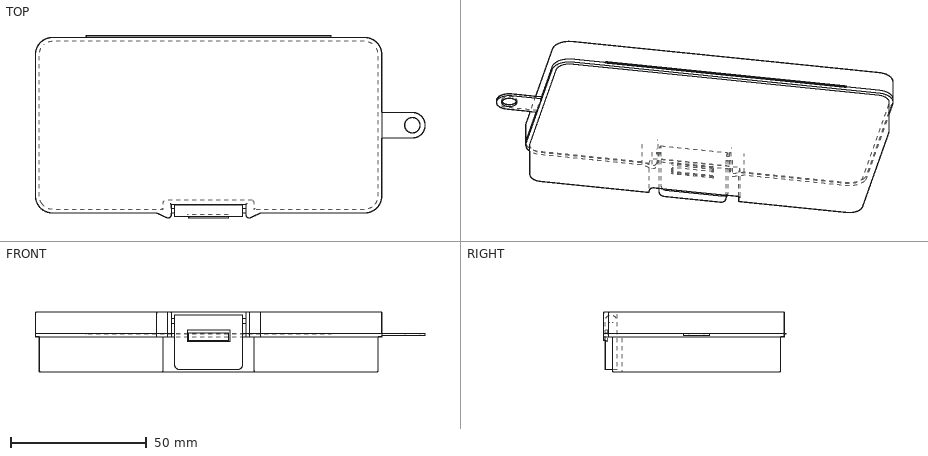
import cadquery as cq
LENGTH = 127.8
DEPTH = 64.9
HEIGHT = 22.1
CORNER_RADIUS = 6.5
EDGE_RADIUS = 0.5
FRONT_Y = -DEPTH / 2
BACK_Y = DEPTH / 2

RIM_OVERHANG = 1.5
RIM_HEIGHT = 1.3
SEAM_Z = 14.2
RIM_BOTTOM_Z = SEAM_Z - RIM_HEIGHT
TUB_RECESS_WIDTH = 33.6
TUB_RECESS_RADIUS = 1.3
TUB_RECESS_EXTRA_DEPTH = 1.7

CHEEK_REACH = 1.9
CHEEK_OUTER_X = 19.1
CHEEK_TIP_X = 15.1
NOTCH_WIDTH = 27.5

LATCH_WIDTH = 25.2
BARREL_RADIUS = 2.2
LATCH_BOTTOM_Z = 0.9
LATCH_CORNER_RADIUS = 2.0
BARREL_Z = 18.8
PIN_DIAMETER = 1.7
LATCH_THICKNESS = 2 * BARREL_RADIUS
GRIP_PROTRUSION = 0.6
LATCH_FRONT_Y = FRONT_Y - CHEEK_REACH + GRIP_PROTRUSION
BARREL_Y = LATCH_FRONT_Y + BARREL_RADIUS
LATCH_BACK_Y = LATCH_FRONT_Y + LATCH_THICKNESS
LATCH_CLEARANCE = 0.1
NOTCH_BACK_Y = LATCH_BACK_Y + LATCH_CLEARANCE

POCKET_WIDTH = 15.7
POCKET_HEIGHT = 4.3
POCKET_DEPTH = 0.9
POCKET_BOTTOM_Z = 11.2
GRIP_GAP = 0.5
GRIP_WIDTH = POCKET_WIDTH - 2 * GRIP_GAP
GRIP_HEIGHT = 2.7

TAB_WIDTH = 9.5
TAB_THICKNESS = 0.9
TAB_HOLE_DIAMETER = 5.6
TAB_END_X = LENGTH / 2 + 16.0

HINGE_LENGTH = 90.3
HINGE_PROTRUSION = 0.6
HINGE_HEIGHT = 0.3


def block(x_range, y_range, z_range):
    """Axis-aligned block between the given (low, high) limits."""
    sizes = [high - low for low, high in (x_range, y_range, z_range)]
    corner = (x_range[0], y_range[0], z_range[0])
    return cq.Workplane("XY").box(*sizes, centered=False).translate(corner)


def centred_block(width, y_range, z_range):
    """Block whose width is centred on X = 0."""
    return block((-width / 2, width / 2), y_range, z_range)


def rounded_slab(length, depth, radius, bottom_z, top_z):
    """Slab with rounded vertical corners."""
    slab = cq.Workplane("XY").workplane(offset=bottom_z).rect(length, depth)
    return slab.extrude(top_z - bottom_z).edges("|Z").fillet(radius)


def cheek(bottom_z, top_z):
    """Ramp on the right of the notch, ending in a round tip."""
    notch_x = NOTCH_WIDTH / 2
    tip_y = FRONT_Y - CHEEK_REACH
    tip_radius = CHEEK_TIP_X - notch_x
    ramp = (
        cq.Workplane("XY")
        .workplane(offset=bottom_z)
        .moveTo(CHEEK_OUTER_X, FRONT_Y)
        .lineTo(CHEEK_TIP_X, tip_y)
        .radiusArc((notch_x, tip_y + tip_radius), tip_radius)
        .lineTo(notch_x, NOTCH_BACK_Y)
        .lineTo(CHEEK_OUTER_X, NOTCH_BACK_Y)
        .close()
    )
    return ramp.extrude(top_z - bottom_z)


def notched_slab(bottom_z, top_z):
    """Outline shared by the lid and the rim: rounded slab, latch notch and cheeks."""
    slab = rounded_slab(LENGTH, DEPTH, CORNER_RADIUS, bottom_z, top_z)
    notch = centred_block(NOTCH_WIDTH, (FRONT_Y, NOTCH_BACK_Y), (bottom_z, top_z))
    right_cheek = cheek(bottom_z, top_z)
    return slab.cut(notch).union(right_cheek).union(right_cheek.mirror("YZ"))


def make_lid():
    """Upper half of the case, softened around its top face."""
    return notched_slab(SEAM_Z, HEIGHT).faces(">Z").edges().fillet(EDGE_RADIUS)


def make_tub():
    """Lower box with a recess behind the latch, rounded in its two inner corners."""
    length = LENGTH - 2 * RIM_OVERHANG
    depth = DEPTH - 2 * RIM_OVERHANG
    recess_y = (-depth / 2, NOTCH_BACK_Y + TUB_RECESS_EXTRA_DEPTH)
    recess = centred_block(TUB_RECESS_WIDTH, recess_y, (0, RIM_BOTTOM_Z))
    recess = recess.edges("|Z and >Y").fillet(TUB_RECESS_RADIUS)
    tub = rounded_slab(length, depth, CORNER_RADIUS - RIM_OVERHANG, 0, RIM_BOTTOM_Z).cut(recess)
    return tub.faces("<Z").edges().fillet(EDGE_RADIUS)


def make_tab():
    """Hanging tab with a round end and a concentric hole, flush with the rim top."""
    eye_x = TAB_END_X - TAB_WIDTH / 2
    tab_z = (SEAM_Z - TAB_THICKNESS, SEAM_Z)
    strip = block((LENGTH / 2, eye_x), (-TAB_WIDTH / 2, TAB_WIDTH / 2), tab_z)
    eye = cq.Workplane("XY").workplane(offset=tab_z[0]).center(eye_x, 0)
    hole = eye.circle(TAB_HOLE_DIAMETER / 2).extrude(TAB_THICKNESS)
    return strip.union(eye.circle(TAB_WIDTH / 2).extrude(TAB_THICKNESS)).cut(hole)


def make_base():
    """Tub with its rim, hanging tab and hinge strip."""
    hinge_y = (BACK_Y, BACK_Y + HINGE_PROTRUSION)
    hinge = centred_block(HINGE_LENGTH, hinge_y, (SEAM_Z - HINGE_HEIGHT, SEAM_Z))
    return make_tub().union(notched_slab(RIM_BOTTOM_Z, SEAM_Z)).union(make_tab()).union(hinge)


def latch_body():
    """Slab with a half-round barrel top and rounded lower corners."""
    profile = (
        cq.Workplane("YZ")
        .workplane(offset=-LATCH_WIDTH / 2)
        .moveTo(LATCH_FRONT_Y, LATCH_BOTTOM_Z)
        .lineTo(LATCH_FRONT_Y, BARREL_Z)
        .threePointArc((BARREL_Y, BARREL_Z + BARREL_RADIUS), (LATCH_BACK_Y, BARREL_Z))
        .lineTo(LATCH_BACK_Y, LATCH_BOTTOM_Z)
        .close()
    )
    return profile.extrude(LATCH_WIDTH).edges("|Y and <Z").fillet(LATCH_CORNER_RADIUS)


def make_latch():
    """Latch body with a finger grip on its front and stub pins at its sides."""
    pocket_back_y = LATCH_FRONT_Y + POCKET_DEPTH
    pocket_z = (POCKET_BOTTOM_Z, POCKET_BOTTOM_Z + POCKET_HEIGHT)
    pocket = centred_block(POCKET_WIDTH, (LATCH_FRONT_Y, pocket_back_y), pocket_z)
    grip_bottom_z = POCKET_BOTTOM_Z + GRIP_GAP
    grip_y = (LATCH_FRONT_Y - GRIP_PROTRUSION, pocket_back_y)
    grip = centred_block(GRIP_WIDTH, grip_y, (grip_bottom_z, grip_bottom_z + GRIP_HEIGHT))

    axis = cq.Workplane("YZ").workplane(offset=-NOTCH_WIDTH / 2).center(BARREL_Y, BARREL_Z)
    pins = axis.circle(PIN_DIAMETER / 2).extrude(NOTCH_WIDTH)
    return latch_body().cut(pocket).union(grip).union(pins)


lid = make_lid()
base = make_base()
latch = make_latch()
result = cq.Compound.makeCompound([lid.val(), base.val(), latch.val()])